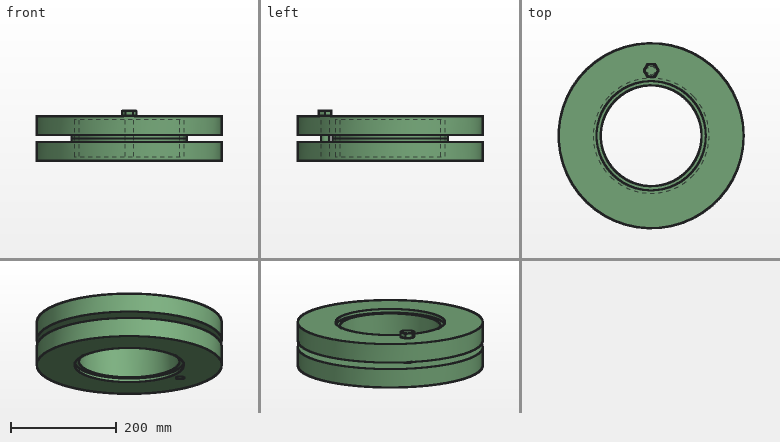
import cadquery as cq
import math

flange_diameter = 350.0
flange_thickness = 36.0
raised_face_diameter = 218.5
raised_face_height = 6.3
half_height = flange_thickness + raised_face_height
stack_height = 2 * half_height

pipe_outer_diameter = 206.5
pipe_bore_diameter = 190.0
pipe_setback = 7.0

bolt_offset = 123.2
shank_diameter = 16.0
head_width = 24.0
head_height = 10.0
washer_face_diameter = 22.0
washer_face_height = 0.7
chamfer_circle_diameter = 23.8
chamfer_angle = 30.0
head_corner_diameter = head_width / math.cos(math.pi / 6)


def cylinder(diameter, height, base_z=0.0):
    """Upright cylinder centred on the Z axis."""
    return cq.Workplane("XY").workplane(offset=base_z).circle(diameter / 2).extrude(height)


def make_flange():
    """Lower flange, raised face up, bored for the pipe and the bolt shank."""
    flange = cylinder(flange_diameter, flange_thickness)
    flange = flange.union(cylinder(raised_face_diameter, half_height))
    flange = flange.cut(cylinder(pipe_outer_diameter, half_height))
    bolt_hole = cylinder(shank_diameter, half_height).translate((0, bolt_offset, 0))
    return flange.cut(bolt_hole)


def make_pipe():
    """Pipe set back from the outer face of each flange."""
    pipe_length = stack_height - 2 * pipe_setback
    pipe = cylinder(pipe_outer_diameter, pipe_length, pipe_setback)
    return pipe.cut(cylinder(pipe_bore_diameter, pipe_length, pipe_setback))


def make_bolt_head():
    """Hex head on a thin washer face, its top corners cut by a cone."""
    hexagon = (
        cq.Workplane("XY")
        .workplane(offset=washer_face_height)
        .polygon(6, head_corner_diameter)
        .extrude(head_height - washer_face_height)
    )
    top_radius = chamfer_circle_diameter / 2
    base_radius = top_radius + head_height / math.tan(math.radians(chamfer_angle))
    chamfer_cone = cq.Workplane(cq.Solid.makeCone(base_radius, top_radius, head_height))
    washer_face = cylinder(washer_face_diameter, washer_face_height)
    return hexagon.intersect(chamfer_cone).union(washer_face)


def make_bolt():
    """Bolt resting on the upper flange, its shank ending flush with the lower flange."""
    head = make_bolt_head().translate((0, 0, stack_height))
    bolt = cylinder(shank_diameter, stack_height).union(head)
    return bolt.translate((0, bolt_offset, 0))


lower_flange = make_flange()
upper_flange = lower_flange.mirror("XY", (0, 0, half_height))
pipe = make_pipe()
bolt = make_bolt()

result = cq.Compound.makeCompound([lower_flange.val(), upper_flange.val(), pipe.val(), bolt.val()])